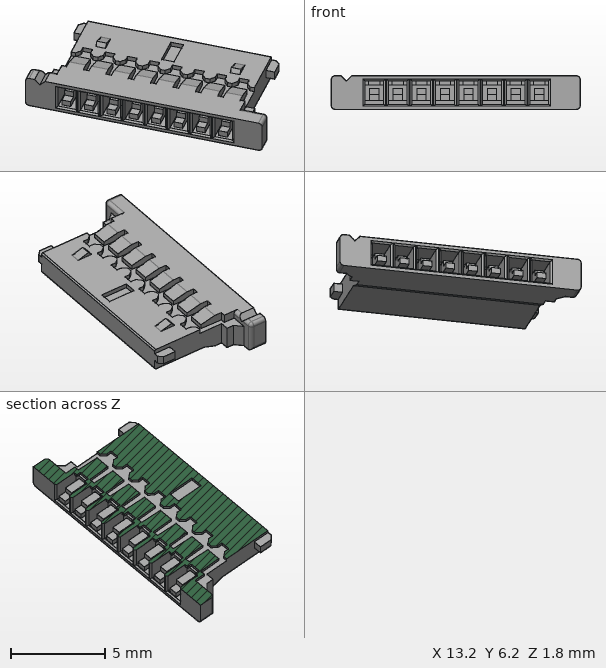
import cadquery as cq

LENGTH = 13.22
DEPTH = 6.2
HEIGHT = 1.8

CONTACT_COUNT = 8
FIRST_TO_LAST = 8.75
PITCH = FIRST_TO_LAST / (CONTACT_COUNT - 1)
CONTACT_XS = [(i - (CONTACT_COUNT - 1) / 2) * PITCH for i in range(CONTACT_COUNT)]

BODY_WIDTH = 10.23
TONGUE_BOTTOM = 0.24
TONGUE_TOP = 1.56
BOTTOM_RAMP_START = 2.25
BOTTOM_RAMP_END = 2.95
BACK_CHAMFER = 0.08

FLANGE_DEPTH = 0.99
FLANGE_FILLET = 0.21
V_GROOVE_X = -5.8
V_GROOVE_DEPTH = 0.29

GROOVE_FLOOR = 1.31
GROOVE_FRONT = 2.95
GROOVE_BACK = 3.23
NOTCH_MOUTH = 0.99
NOTCH_WIDTH = 0.53
NOTCH_SHOULDER = 3.49
NOTCH_BACK = 3.8

FINGER_ROOT = 1.64
FINGER_RAMP_START = 2.06
FINGER_ROOT_WIDTH = 0.94
FINGER_TIP_WIDTH = 0.87

CAVITY_WIDTH = 0.99
CAVITY_BOTTOM = 0.28
CAVITY_TOP = 1.52
CAVITY_DEPTH = 1.45
LEAD_IN_DEPTH = 0.09
LEAD_IN_SIDE = 0.1
LEAD_IN_HEIGHT = 0.09
CAVITY_ROW_SHIFT = 0.05
TOP_RECESS_WIDTH = 0.6
TOP_RECESS_DEPTH = 1.59
LEDGE_TOP = 0.48
MOUTH_DEPTH = 1.32

CONTACT_WIDTH = 0.49
CONTACT_STEP_TOP = 0.79
CONTACT_STEP_LENGTH = 0.46
CONTACT_TOP = 1.11

LATCH_X = 3 * PITCH
LATCH_WIDTH = 0.54
LATCH_FRONT = 4.1
LATCH_RIDGE = 4.3
LATCH_BACK = 4.98
LATCH_TOP = 1.77
SLOT_WIDTH = 0.7
SLOT_FRONT = 4.1
SLOT_BACK = 5.7

SIDE_REACH = 5.6
EAR_FRONT = 5.21
EAR_BOTTOM = 0.83
EAR_CHAMFER = 0.24
WING_BACK = 1.81
WING_FLARE_BACK = 1.39
WING_FLARE_REACH = SIDE_REACH + WING_FLARE_BACK - FLANGE_DEPTH


def block(x_range, y_range, z_range):
    """Axis-aligned box between the given limits."""
    size = [high - low for low, high in (x_range, y_range, z_range)]
    corner = (x_range[0], y_range[0], z_range[0])
    return cq.Workplane("XY").box(*size, centered=False).translate(corner)


def plan_prism(points, bottom, top):
    """Prism with an XY outline."""
    return cq.Workplane("XY").workplane(offset=bottom).polyline(points).close().extrude(top - bottom)


def side_prism(points, x_centre, width):
    """Prism with a YZ outline, centred on x_centre."""
    plane = cq.Workplane("YZ").workplane(offset=x_centre - width / 2)
    return plane.polyline(points).close().extrude(width)


def centred(x, width):
    """Limits of a span of the given width about x."""
    return (x - width / 2, x + width / 2)


def make_body():
    """Front block and tongue, with the cross groove open between them."""
    return side_prism(
        [
            (0, 0),
            (BOTTOM_RAMP_START, 0),
            (BOTTOM_RAMP_END, TONGUE_BOTTOM),
            (DEPTH - BACK_CHAMFER, TONGUE_BOTTOM),
            (DEPTH, TONGUE_BOTTOM + BACK_CHAMFER),
            (DEPTH, TONGUE_TOP - BACK_CHAMFER),
            (DEPTH - BACK_CHAMFER, TONGUE_TOP),
            (GROOVE_BACK, TONGUE_TOP),
            (GROOVE_BACK, GROOVE_FLOOR),
            (FINGER_ROOT, GROOVE_FLOOR),
            (FINGER_ROOT, HEIGHT),
            (0, HEIGHT),
        ],
        0,
        BODY_WIDTH,
    )


def make_flange():
    """Flange with rounded ends, rounded along its top rear edge but sharp along its lower rear edge."""
    blank = block(centred(0, LENGTH), (0, FLANGE_DEPTH), (0, HEIGHT))
    rounded_above = blank.edges("(|Z and >Y) or (|Y and >Z) or (|X and >Y and >Z)").fillet(FLANGE_FILLET)
    rounded_below = blank.edges("|Y and <Z").fillet(FLANGE_FILLET)
    return rounded_above.intersect(rounded_below)


def make_side_features(side):
    """Rear ear and front wing on one side; side is -1 or 1."""
    ear = plan_prism(
        [
            (0, EAR_FRONT),
            (side * SIDE_REACH, EAR_FRONT),
            (side * SIDE_REACH, DEPTH - EAR_CHAMFER),
            (side * (SIDE_REACH - EAR_CHAMFER), DEPTH),
            (0, DEPTH),
        ],
        EAR_BOTTOM,
        GROOVE_FLOOR,
    )
    wing = plan_prism(
        [
            (0, 0),
            (side * WING_FLARE_REACH, 0),
            (side * WING_FLARE_REACH, FLANGE_DEPTH),
            (side * SIDE_REACH, WING_FLARE_BACK),
            (side * SIDE_REACH, WING_BACK),
            (0, WING_BACK),
        ],
        0,
        GROOVE_FLOOR,
    )
    return ear.union(wing)


def make_finger(x):
    """Tapered finger with a ramped top, joined to the front block."""
    half_root = FINGER_ROOT_WIDTH / 2
    half_tip = FINGER_TIP_WIDTH / 2
    outline = plan_prism(
        [
            (x - half_root, FINGER_ROOT),
            (x + half_root, FINGER_ROOT),
            (x + half_tip, GROOVE_FRONT),
            (x - half_tip, GROOVE_FRONT),
        ],
        GROOVE_FLOOR,
        HEIGHT,
    )
    profile = side_prism(
        [
            (FINGER_ROOT, GROOVE_FLOOR),
            (GROOVE_FRONT, GROOVE_FLOOR),
            (GROOVE_FRONT, TONGUE_TOP),
            (FINGER_RAMP_START, HEIGHT),
            (FINGER_ROOT, HEIGHT),
        ],
        x,
        FINGER_ROOT_WIDTH,
    )
    return outline.intersect(profile)


def make_notch(x):
    """Funnel-shaped notch in the rear wall of the cross groove."""
    mouth = NOTCH_MOUTH / 2
    throat = NOTCH_WIDTH / 2
    return plan_prism(
        [
            (x - mouth, GROOVE_BACK),
            (x + mouth, GROOVE_BACK),
            (x + throat, NOTCH_SHOULDER),
            (x + throat, NOTCH_BACK),
            (x - throat, NOTCH_BACK),
            (x - throat, NOTCH_SHOULDER),
        ],
        GROOVE_FLOOR,
        TONGUE_TOP,
    )


def make_cavity(x):
    """Cavity with a chamfered mouth, a raised rear floor and a narrower recess at the top."""
    width = centred(x, CAVITY_WIDTH)
    front = block(width, (0, MOUTH_DEPTH), (CAVITY_BOTTOM, CAVITY_TOP))
    rear = block(width, (0, CAVITY_DEPTH), (LEDGE_TOP, GROOVE_FLOOR))
    top_recess = block(centred(x, TOP_RECESS_WIDTH), (0, TOP_RECESS_DEPTH), (GROOVE_FLOOR, CAVITY_TOP))
    cavity_height = CAVITY_TOP - CAVITY_BOTTOM
    lead_in = (
        cq.Workplane("XZ", origin=(x, 0, (CAVITY_TOP + CAVITY_BOTTOM) / 2))
        .rect(CAVITY_WIDTH + 2 * LEAD_IN_SIDE, cavity_height + 2 * LEAD_IN_HEIGHT)
        .workplane(offset=-LEAD_IN_DEPTH)
        .rect(CAVITY_WIDTH, cavity_height)
        .loft(ruled=True)
    )
    return front.union(rear).union(top_recess).union(lead_in)


def make_contact(x):
    """L-shaped contact reaching forward from the back of the cavity to the mating face."""
    return side_prism(
        [
            (0, LEDGE_TOP),
            (CAVITY_DEPTH, LEDGE_TOP),
            (CAVITY_DEPTH, CONTACT_TOP),
            (CONTACT_STEP_LENGTH, CONTACT_TOP),
            (CONTACT_STEP_LENGTH, CONTACT_STEP_TOP),
            (0, CONTACT_STEP_TOP),
        ],
        x,
        CONTACT_WIDTH,
    )


def make_latch(x):
    """Latch ramp with a long rear slope and a steep front."""
    return side_prism(
        [(LATCH_FRONT, TONGUE_TOP), (LATCH_BACK, TONGUE_TOP), (LATCH_RIDGE, LATCH_TOP)],
        x,
        LATCH_WIDTH,
    )


def make_v_groove():
    """Right-angled V groove through the flange, used for polarising."""
    outline = [
        (V_GROOVE_X - V_GROOVE_DEPTH, HEIGHT),
        (V_GROOVE_X, HEIGHT - V_GROOVE_DEPTH),
        (V_GROOVE_X + V_GROOVE_DEPTH, HEIGHT),
    ]
    return cq.Workplane("XZ").polyline(outline).close().extrude(-FLANGE_DEPTH)


def make_slot():
    """Shallow rectangular pocket in the top of the tongue."""
    return block(centred(0, SLOT_WIDTH), (SLOT_FRONT, SLOT_BACK), (GROOVE_FLOOR, TONGUE_TOP))


result = make_body().union(make_flange())
for side in (-1, 1):
    result = result.union(make_side_features(side))
    result = result.union(make_latch(side * LATCH_X))
for contact_x in CONTACT_XS:
    result = result.union(make_finger(contact_x))
    result = result.cut(make_notch(contact_x))
for contact_x in CONTACT_XS:
    cavity_x = contact_x + CAVITY_ROW_SHIFT
    result = result.cut(make_cavity(cavity_x))
    result = result.union(make_contact(cavity_x))
result = result.cut(make_v_groove())
result = result.cut(make_slot())